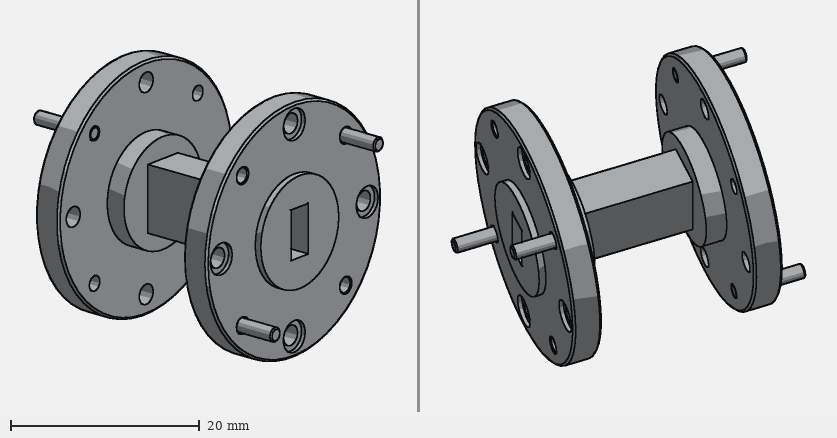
import cadquery as cq
import math

section_length = 25.4
bore_width = 2.84
bore_height = 5.69
tube_width = 4.88
tube_height = 7.72

flange_diameter = 28.57
flange_thickness = 3.26
flange_chamfer = 0.25
hub_diameter = 12.7
hub_length = 6.35
face_rise = 0.77

bolt_circle_diameter = 23.81
screw_hole_diameter = 2.26
counterbore_diameter = 3.55
counterbore_depth = 0.5
dowel_hole_diameter = 1.7
dowel_mouth_diameter = 1.95
dowel_mouth_angle = 45

pin_diameter = 1.6
pin_chamfer = 0.165
pin_tip_span = 33.15

end_x = section_length / 2
hub_x = end_x - hub_length
flange_outer_x = end_x - face_rise
flange_inner_x = flange_outer_x - flange_thickness
pin_tip_x = pin_tip_span / 2

screw_angles = [0, 90, 180, 270]
dowel_pin_angles = [135, 315]
dowel_hole_angles = [45, 225]


def bolt_point(angle):
    """(Y, Z) of a point on the bolt circle."""
    radius = bolt_circle_diameter / 2
    return (radius * math.sin(math.radians(angle)), radius * math.cos(math.radians(angle)))


def cylinders(diameter, points, outer_x, inner_x):
    """Cylinders at (Y, Z) points of the -X end, between two distances from the middle."""
    return (
        cq.Workplane("YZ", origin=(-outer_x, 0, 0))
        .pushPoints(points)
        .circle(diameter / 2)
        .extrude(outer_x - inner_x)
    )


def dowel_mouths(points, hole_diameter):
    """Countersinks that open dowel holes to the mouth diameter at the outer side."""
    radial_width = (dowel_mouth_diameter - hole_diameter) / 2
    depth = radial_width / math.tan(math.radians(dowel_mouth_angle))
    return (
        cq.Workplane("YZ", origin=(-flange_outer_x, 0, 0))
        .pushPoints(points)
        .circle(dowel_mouth_diameter / 2)
        .extrude(depth, taper=dowel_mouth_angle)
    )


def opposite_end(shape):
    """Turn a -X end feature half a revolution about Z onto the +X end."""
    return shape.rotate((0, 0, 0), (0, 0, 1), 180)


screw_points = [bolt_point(angle) for angle in screw_angles]
pin_points = [bolt_point(angle) for angle in dowel_pin_angles]
dowel_hole_points = [bolt_point(angle) for angle in dowel_hole_angles]
centre = [(0, 0)]


def make_flange():
    """The -X flange with its hub, raised face and drilled holes."""
    disc = cylinders(flange_diameter, centre, flange_outer_x, flange_inner_x)
    disc = disc.faces("<X or >X").edges().chamfer(flange_chamfer)
    flange = disc.union(cylinders(hub_diameter, centre, end_x, hub_x))

    flange = flange.cut(cylinders(screw_hole_diameter, screw_points, flange_outer_x, flange_inner_x))
    counterbore_floor_x = flange_outer_x - counterbore_depth
    flange = flange.cut(cylinders(counterbore_diameter, screw_points, flange_outer_x, counterbore_floor_x))

    flange = flange.cut(cylinders(dowel_hole_diameter, dowel_hole_points, flange_outer_x, flange_inner_x))
    flange = flange.cut(cylinders(pin_diameter, pin_points, flange_outer_x, flange_inner_x))
    flange = flange.cut(dowel_mouths(dowel_hole_points, dowel_hole_diameter))
    return flange.cut(dowel_mouths(pin_points, pin_diameter))


def make_waveguide():
    """Rectangular tube with a flange at each end and a bore right through."""
    tube = cq.Workplane("XY").box(2 * hub_x, tube_width, tube_height)
    flange = make_flange()
    bore = cq.Workplane("XY").box(section_length, bore_width, bore_height)
    return tube.union(flange).union(opposite_end(flange)).cut(bore)


def make_pin(point):
    """A -X dowel pin, chamfered at both ends."""
    pin = cylinders(pin_diameter, [point], pin_tip_x, flange_inner_x)
    return pin.faces("<X or >X").edges().chamfer(pin_chamfer)


waveguide = make_waveguide()

pins = []
for pin_point in pin_points:
    pin = make_pin(pin_point)
    pins.append(pin.val())
    pins.append(opposite_end(pin).val())

result = cq.Compound.makeCompound([waveguide.val(), *pins])